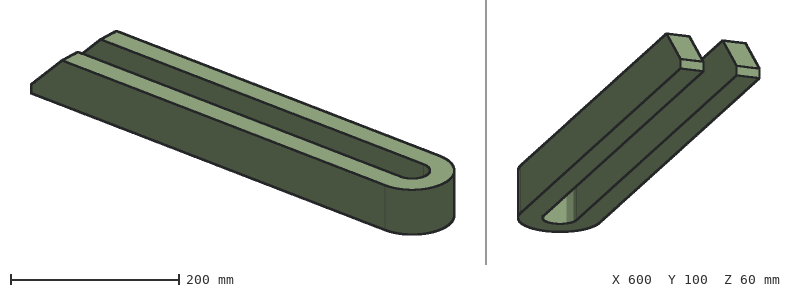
import cadquery as cq

length = 600.0
width = 100.0
height = 60.0
slot_width = 42.0
nose_height = 12.0
bevel_length = 48.0

outer_radius = width / 2
bend_center_x = length / 2 - outer_radius
tip_x = -length / 2


def round_ended_bar(bar_width):
    """Bar from the open tip to the bend, with a half-round end at +X."""
    half_width = bar_width / 2
    return (
        cq.Workplane("XY")
        .moveTo(tip_x, -half_width)
        .lineTo(bend_center_x, -half_width)
        .threePointArc((bend_center_x + half_width, 0), (bend_center_x, half_width))
        .lineTo(tip_x, half_width)
        .close()
        .extrude(height)
    )


def tip_bevel():
    """Wedge removed from the top of both leg tips."""
    return (
        cq.Workplane("XZ")
        .moveTo(tip_x, nose_height)
        .lineTo(tip_x + bevel_length, height)
        .lineTo(tip_x, height)
        .close()
        .extrude(outer_radius, both=True)
    )


u_clamp = round_ended_bar(width).cut(round_ended_bar(slot_width))
result = u_clamp.cut(tip_bevel())